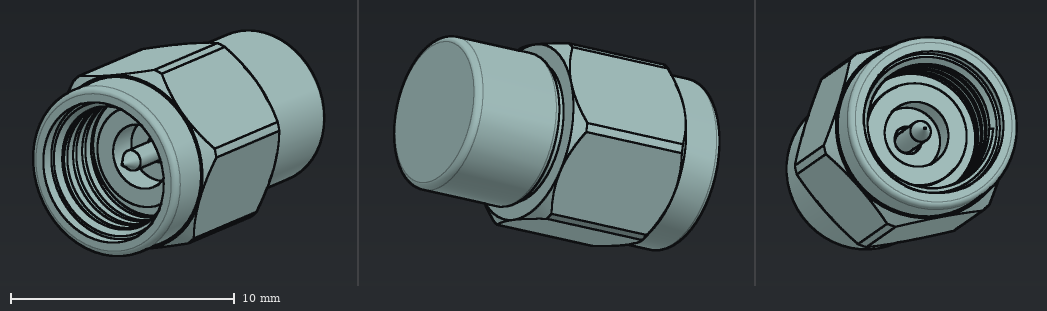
import cadquery as cq
import math

LENGTH = 12.8
FRONT_Y = -LENGTH / 2
REAR_Y = LENGTH / 2
HEX_FRONT_Y = -4.43
HEX_REAR_Y = 1.6
BARREL_FRONT_Y = 1.9
EDGE_FILLET = 0.3

HEX_ACROSS_FLATS = 8.0
HEX_CORNER_RADIUS = 4.5
HEX_TURN = 13.0
HEX_CHAMFER_LENGTH = 0.46
COLLAR_RADIUS = 3.92

MOUTH_RADIUS = 3.23
MOUTH_DEPTH = 0.64
LEAD_IN_RADIUS = 3.08
BORE_RADIUS = 2.82
LEAD_IN_DEPTH = LEAD_IN_RADIUS - BORE_RADIUS
THREAD_PITCH = 0.73
THREAD_TURNS = 4
THREAD_DEPTH = 0.22
THREAD_GROOVE_WIDTH = 0.25
CUT_OVERLAP = 0.04
THREAD_START_Y = -5.57

FLOOR_Y = -2.98
NECK_RADIUS = 3.2
BARREL_RADIUS = 3.51
BOSS_RADIUS = 2.32
BOSS_FRONT_Y = -3.39
RECESS_RADIUS = 1.47
RECESS_FLOOR_Y = -1.92

PIN_RADIUS = 0.47
PIN_SEAT_RADIUS = 0.63
PIN_SEAT_DEPTH = 0.51
PIN_TIP_RADIUS = 0.04
PIN_TIP_Y = -4.88
PIN_TAPER_LENGTH = 0.77
PIN_END_Y = RECESS_FLOOR_Y + PIN_SEAT_DEPTH


def revolve_about_y(points):
    """Turn a closed (radius, y) outline about the Y axis."""
    return cq.Workplane("XY").polyline(points).close().revolve(360, (0, 0, 0), (0, 1, 0))


def cylinder(radius, start_y, end_y):
    return revolve_about_y([(0, start_y), (radius, start_y), (radius, end_y), (0, end_y)])


def make_hexagon():
    """Hexagonal prism with turned corners and a conical chamfer at both ends."""
    flat_radius = HEX_ACROSS_FLATS / 2
    prism = (
        cq.Workplane("XZ", origin=(0, HEX_REAR_Y, 0))
        .polygon(6, HEX_ACROSS_FLATS / math.cos(math.pi / 6))
        .extrude(HEX_REAR_Y - HEX_FRONT_Y)
        .rotate((0, 0, 0), (0, 1, 0), -HEX_TURN)
    )
    envelope = revolve_about_y([
        (0, HEX_FRONT_Y),
        (flat_radius, HEX_FRONT_Y),
        (HEX_CORNER_RADIUS, HEX_FRONT_Y + HEX_CHAMFER_LENGTH),
        (HEX_CORNER_RADIUS, HEX_REAR_Y - HEX_CHAMFER_LENGTH),
        (flat_radius, HEX_REAR_Y),
        (0, HEX_REAR_Y),
    ])
    return prism.intersect(envelope)


def make_nut_bore():
    """Mouth counterbore, step, conical lead-in and bore."""
    lead_in_y = FRONT_Y + MOUTH_DEPTH
    return revolve_about_y([
        (0, FRONT_Y),
        (MOUTH_RADIUS, FRONT_Y),
        (MOUTH_RADIUS, lead_in_y),
        (LEAD_IN_RADIUS, lead_in_y),
        (BORE_RADIUS, lead_in_y + LEAD_IN_DEPTH),
        (BORE_RADIUS, HEX_REAR_Y),
        (0, HEX_REAR_Y),
    ])


def make_thread_cutter():
    """V-shaped ridge swept along a helix around the Y axis, ending at the socket floor."""
    inner = BORE_RADIUS - CUT_OVERLAP
    half_width = THREAD_GROOVE_WIDTH / 2 * (THREAD_DEPTH + CUT_OVERLAP) / THREAD_DEPTH
    helix = cq.Wire.makeHelix(THREAD_PITCH, THREAD_PITCH * THREAD_TURNS, BORE_RADIUS)
    cutter = (
        cq.Workplane("XZ")
        .polyline([(inner, -half_width), (BORE_RADIUS + THREAD_DEPTH, 0), (inner, half_width)])
        .close()
        .sweep(cq.Workplane(obj=helix), isFrenet=True)
    )
    cutter = cutter.rotate((0, 0, 0), (1, 0, 0), -90).translate((0, THREAD_START_Y, 0))
    return cutter.intersect(cylinder(COLLAR_RADIUS, FRONT_Y, FLOOR_Y))


def make_nut():
    collar = cylinder(COLLAR_RADIUS, FRONT_Y, HEX_REAR_Y).faces("<Y").edges().fillet(EDGE_FILLET)
    blank = make_hexagon().union(collar)
    return blank.cut(make_nut_bore()).cut(make_thread_cutter())


def make_connector_body():
    """Plug filling the nut bore, neck, barrel and front boss, with a recess for the pin."""
    barrel = cylinder(BARREL_RADIUS, BARREL_FRONT_Y, REAR_Y).edges("%CIRCLE").fillet(EDGE_FILLET)
    neck = cylinder(NECK_RADIUS, HEX_REAR_Y, REAR_Y - EDGE_FILLET)
    plug = cylinder(BORE_RADIUS, FLOOR_Y, REAR_Y - EDGE_FILLET)
    boss = cylinder(BOSS_RADIUS, BOSS_FRONT_Y, REAR_Y - EDGE_FILLET)
    body = barrel.union(neck).union(plug).union(boss)
    body = body.cut(cylinder(RECESS_RADIUS, BOSS_FRONT_Y, RECESS_FLOOR_Y))
    return body.cut(cylinder(PIN_SEAT_RADIUS, RECESS_FLOOR_Y, PIN_END_Y))


def make_pin():
    """Straight pin with a blunt conical tip."""
    return revolve_about_y([
        (0, PIN_TIP_Y),
        (PIN_TIP_RADIUS, PIN_TIP_Y),
        (PIN_RADIUS, PIN_TIP_Y + PIN_TAPER_LENGTH),
        (PIN_RADIUS, PIN_END_Y),
        (0, PIN_END_Y),
    ])


nut = make_nut()
connector_body = make_connector_body()
pin = make_pin()

result = cq.Compound.makeCompound([nut.val(), connector_body.val(), pin.val()])